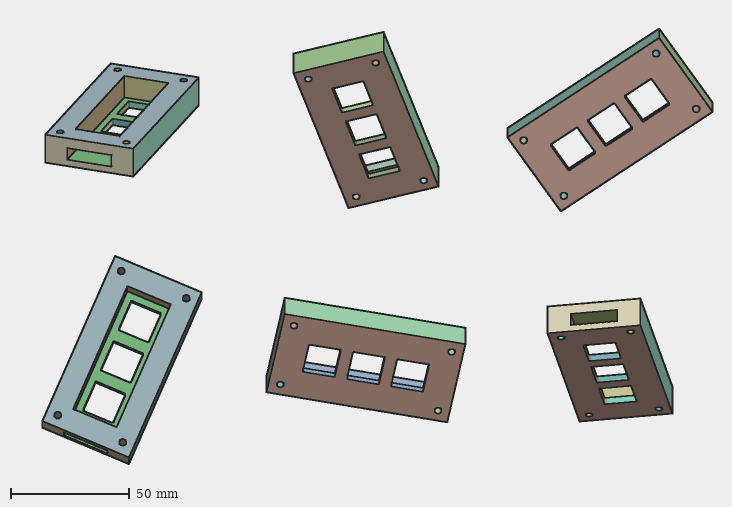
import cadquery as cq

width = 39.9
length = 77.9
height = 13.0

wall = 10.0
floor_thickness = 3.0
pocket_width = width - 2 * wall
pocket_length = length - 2 * wall

window_size = 13.8
window_pitch = 19.0
window_corner_radius = 0.4
window_count = 3

slot_height = 5.4

hole_diameter = 2.9
hole_inset = 5.0


def make_block():
    return cq.Workplane("XY").box(width, length, height, centered=(True, True, False))


def make_pocket():
    return (
        cq.Workplane("XY", origin=(0, 0, floor_thickness))
        .rect(pocket_width, pocket_length)
        .extrude(height - floor_thickness)
    )


def make_windows():
    return (
        cq.Workplane("XY")
        .rarray(0.8, window_pitch, 1, window_count)
        .rect(window_size, window_size)
        .extrude(floor_thickness)
        .edges("|Z")
        .fillet(window_corner_radius)
    )


def make_slot():
    return cq.Workplane("XY", origin=(0, (wall - length) / 2, floor_thickness)).box(
        pocket_width, wall, slot_height, centered=(True, True, False)
    )


def make_screw_holes():
    return (
        cq.Workplane("XY")
        .rect(width - 2 * hole_inset, length - 2 * hole_inset, forConstruction=True)
        .vertices()
        .circle(hole_diameter / 2)
        .extrude(height)
    )


result = (
    make_block()
    .cut(make_pocket())
    .cut(make_windows())
    .cut(make_slot())
    .cut(make_screw_holes())
)